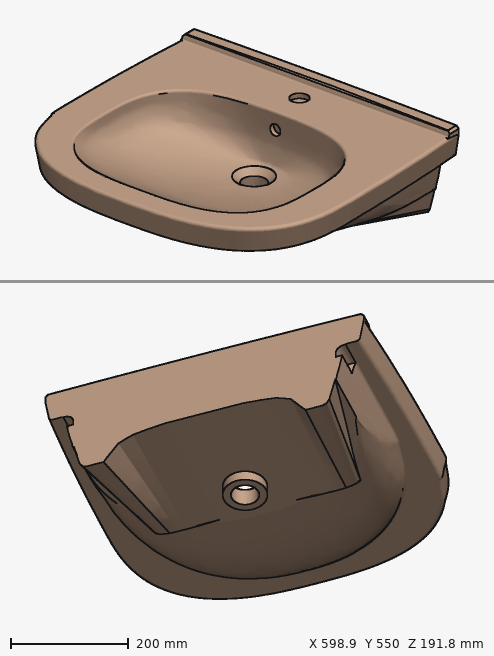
import cadquery as cq
import math


WIDTH = 598.93
DEPTH = 550.0
HEIGHT = 191.75
BACK_Y = 195.0
FRONT_Y = BACK_Y - DEPTH

RIM_THICKNESS = 50.0
RIM_BACK_HALF_WIDTH = 288.6
RIM_CURVE_START_Y = -110.0
RIM_EXPONENT = 2.7
RIM_TOP_ROUND = 6.0
RIM_SKIRT_INSET = 6.0
RIM_BOTTOM_ROUND = 8.0

FRONT_CURVE_STEPS = 16
ROUND_STEPS = 3

UPSTAND_HEIGHT = 12.75
UPSTAND_CROWN = 2.0
UPSTAND_TOP_FRONT_Y = 175.0
UPSTAND_NOSE_Y = 171.5
UPSTAND_NOSE_Z = 9.5
UPSTAND_COVE_Y = 168.5
UPSTAND_COVE_Z = 3.5
UPSTAND_FOOT_Y = 164.5
UPSTAND_ARC_SAG = 0.7
UPSTAND_END_CHAMFER = 5.0

BOWL_LEVELS = [
    (223.0, 59.5, -304.0, 4.0),
    (215.0, 58.0, -255.0, 35.0),
    (180.0, 54.0, -190.0, 65.0),
    (125.0, 48.0, -128.0, 84.0),
    (65.0, 42.0, -66.0, 96.0),
    (34.0, 34.0, -34.0, 99.0),
]
BOWL_OPENING_EXPONENT = 2.95
BOWL_FLOOR_EXPONENT = 2.0
BOWL_LIP_ROUND = 4.0
BOWL_POINTS = 32

DRAIN_SEAT_DIAMETER = 75.0
DRAIN_SEAT_TOP_Z = -99.0
DRAIN_SEAT_BOTTOM_Z = -111.0
DRAIN_SEAT_CLEARANCE = 5.0
DRAIN_HOLE_DIAMETER = 48.0
SPIGOT_DIAMETER = 76.0
SPIGOT_BOTTOM_Z = -145.5

TAP_HOLE_DIAMETER = 35.0
TAP_HOLE_Y = 124.0
TAP_HOLE_DEPTH = 10.0
OVERFLOW_DIAMETER = 22.0
OVERFLOW_Z = -34.0
OVERFLOW_BOTTOM_Y = 68.0

BODY_LEVELS = [
    (254.0, 0.0, -302.0, -55.0),
    (250.5, 15.0, -289.0, -69.0),
    (247.0, 40.0, -254.0, -89.0),
    (243.0, 75.0, -202.0, -106.0),
    (240.0, 110.0, -133.0, -119.0),
    (238.0, 140.0, -75.0, -126.0),
]
BODY_BOTTOM_Z = BODY_LEVELS[-1][3]
BODY_EXPONENT = 2.3
BODY_RIM_ROUND = 5.0

LEG_BOTTOM_Z = UPSTAND_HEIGHT - HEIGHT
LEG_TOP_Z = -112.0
LEG_WALL = [
    (70.0, LEG_TOP_Z),
    (70.0, BODY_BOTTOM_Z),
    (104.0, -129.5),
    (130.0, -133.5),
    (156.0, -144.5),
    (183.0, LEG_BOTTOM_Z),
    (214.0, LEG_BOTTOM_Z),
    (222.0, -175.5),
    (226.5, -168.0),
    (240.5, LEG_TOP_Z),
]
LEG_TIP_Y = -62.0
LEG_TIP = [
    (70.0, LEG_TOP_Z),
    (70.0, BODY_BOTTOM_Z),
    (104.0, -127.5),
    (130.0, -128.0),
    (145.0, -128.0),
    (160.0, -127.5),
    (172.0, -125.5),
    (180.0, -123.0),
    (186.0, -119.0),
    (192.0, LEG_TOP_Z),
]

RECESS_FLOOR_LENGTH = 44.0
RECESS_OUTER_LENGTH = 54.0
RECESS_TOP_Z = -51.0
RECESS_BOTTOM_Z = -74.0
RECESS_FLOOR_X = 238.0
RECESS_OUTER_X = 269.0
RECESS_FILLET = 15.0


def superellipse_point(half_width, half_depth, exponent, angle):
    """Point of a superellipse centred on the origin, at the given parameter angle."""
    c = math.cos(angle)
    s = math.sin(angle)
    x = half_width * math.copysign(abs(c) ** (2 / exponent), c)
    y = half_depth * math.copysign(abs(s) ** (2 / exponent), s)
    return x, y


def front_curve_points(half_width, start_y, front_y, exponent):
    """Half superellipse from the right side, round the front, to the left side."""
    points = []
    for i in range(FRONT_CURVE_STEPS + 1):
        angle = -math.pi * i / FRONT_CURVE_STEPS
        x, y = superellipse_point(half_width, start_y - front_y, exponent, angle)
        points.append((x, start_y + y))
    return points


def apron_wire(half_width, back_half_width, start_y, front_y, exponent, z):
    """Flat back, straight or bowed sides and superelliptic front, as a closed wire at height z."""
    front = [cq.Vector(x, y, z) for x, y in front_curve_points(half_width, start_y, front_y, exponent)]
    back_left = cq.Vector(-back_half_width, BACK_Y, z)
    back_right = cq.Vector(back_half_width, BACK_Y, z)
    if half_width > back_half_width:
        right = cq.Edge.makeTangentArc(front[0], cq.Vector(0, 1, 0), back_right)
        left = cq.Edge.makeTangentArc(front[-1], cq.Vector(0, 1, 0), back_left)
    else:
        right = cq.Edge.makeLine(front[0], back_right)
        left = cq.Edge.makeLine(front[-1], back_left)
    curve = cq.Edge.makeSpline(front, tangents=[cq.Vector(0, -1, 0), cq.Vector(0, 1, 0)])
    return cq.Wire.assembleEdges([cq.Edge.makeLine(back_left, back_right), right, curve, left])


def rim_wire(inset, z):
    return apron_wire(
        WIDTH / 2 - inset,
        RIM_BACK_HALF_WIDTH - inset,
        RIM_CURVE_START_Y,
        FRONT_Y + inset,
        RIM_EXPONENT,
        z,
    )


def make_rim():
    """Slab leaning inwards towards its underside, with rounded edges; the wall face stays flat."""
    top_round = []
    bottom_round = []
    for i in range(ROUND_STEPS + 1):
        angle = math.pi / 2 * i / ROUND_STEPS
        out = 1 - math.cos(angle)
        along = 1 - math.sin(angle)
        top_round.append(rim_wire(RIM_TOP_ROUND * out, -RIM_TOP_ROUND * along))
        bottom_inset = RIM_SKIRT_INSET + RIM_BOTTOM_ROUND * out
        bottom_round.append(rim_wire(bottom_inset, -RIM_THICKNESS + RIM_BOTTOM_ROUND * along))
    rim = cq.Workplane(cq.Solid.makeLoft([bottom_round[0], top_round[0]], True))
    for wires in (top_round, bottom_round):
        rim = rim.union(cq.Workplane(cq.Solid.makeLoft(wires)))
    return rim


def make_upstand():
    """Crowned strip on the back edge with a coved front."""
    nose_middle = (
        (UPSTAND_TOP_FRONT_Y + UPSTAND_NOSE_Y) / 2 - UPSTAND_ARC_SAG,
        (UPSTAND_HEIGHT + UPSTAND_NOSE_Z) / 2 + UPSTAND_ARC_SAG,
    )
    cove_middle = (
        (UPSTAND_COVE_Y + UPSTAND_FOOT_Y) / 2 + UPSTAND_ARC_SAG,
        UPSTAND_COVE_Z / 2 - UPSTAND_ARC_SAG,
    )
    strip = (
        cq.Workplane("YZ", origin=(-RIM_BACK_HALF_WIDTH, 0, 0))
        .moveTo(BACK_Y, UPSTAND_HEIGHT)
        .lineTo(UPSTAND_TOP_FRONT_Y, UPSTAND_HEIGHT)
        .threePointArc(nose_middle, (UPSTAND_NOSE_Y, UPSTAND_NOSE_Z))
        .lineTo(UPSTAND_COVE_Y, UPSTAND_COVE_Z)
        .threePointArc(cove_middle, (UPSTAND_FOOT_Y, 0))
        .lineTo(UPSTAND_FOOT_Y, -RIM_TOP_ROUND)
        .lineTo(BACK_Y, -RIM_TOP_ROUND)
        .close()
        .extrude(2 * RIM_BACK_HALF_WIDTH)
    )
    end_z = UPSTAND_HEIGHT - UPSTAND_CROWN
    chamfer_x = RIM_BACK_HALF_WIDTH - UPSTAND_END_CHAMFER
    crown = (
        cq.Workplane("XZ", origin=(0, BACK_Y, 0))
        .moveTo(-RIM_BACK_HALF_WIDTH, -RIM_TOP_ROUND)
        .lineTo(-RIM_BACK_HALF_WIDTH, end_z - UPSTAND_END_CHAMFER)
        .lineTo(-chamfer_x, end_z)
        .threePointArc((0, UPSTAND_HEIGHT), (chamfer_x, end_z))
        .lineTo(RIM_BACK_HALF_WIDTH, end_z - UPSTAND_END_CHAMFER)
        .lineTo(RIM_BACK_HALF_WIDTH, -RIM_TOP_ROUND)
        .close()
        .extrude(BACK_Y - UPSTAND_FOOT_Y)
    )
    return strip.intersect(crown)


def body_wire(half_width, start_y, front_y, z):
    return apron_wire(half_width, half_width, start_y, front_y, BODY_EXPONENT, z)


def make_body():
    """Underside of the basin, flared where it meets the rim and receding towards the wall below."""
    half_width, start_y, front_y, flare_z = BODY_LEVELS[0]
    flare = []
    for i in range(ROUND_STEPS + 1):
        angle = math.pi / 2 * i / ROUND_STEPS
        out = BODY_RIM_ROUND * (1 - math.cos(angle))
        up = BODY_RIM_ROUND * math.sin(angle)
        flare.append(body_wire(half_width + out, start_y, front_y - out, flare_z + up))
    body = cq.Workplane(cq.Solid.makeLoft([body_wire(*level) for level in BODY_LEVELS]))
    return body.union(cq.Workplane(cq.Solid.makeLoft(flare)))


def make_leg(side):
    """Wedge from the wall forward; side is +1 for +X and -1 for -X."""
    wires = []
    for y, outline in ((BACK_Y, LEG_WALL), (LEG_TIP_Y, LEG_TIP)):
        wires.append(cq.Wire.makePolygon([cq.Vector(side * x, y, z) for x, z in outline], close=True))
    return cq.Workplane(cq.Solid.makeLoft(wires, True))


def make_recess(side):
    """Slot open to the wall and outwards, with a rounded inner ceiling and a slanted front end."""
    recess = (
        cq.Workplane("XY", origin=(0, 0, RECESS_BOTTOM_Z))
        .moveTo(side * RECESS_FLOOR_X, BACK_Y)
        .lineTo(side * RECESS_FLOOR_X, BACK_Y - RECESS_FLOOR_LENGTH)
        .lineTo(side * RECESS_OUTER_X, BACK_Y - RECESS_OUTER_LENGTH)
        .lineTo(side * RECESS_OUTER_X, BACK_Y)
        .close()
        .extrude(RECESS_TOP_Z - RECESS_BOTTOM_Z)
    )
    inner_face = "<X" if side > 0 else ">X"
    return recess.faces(inner_face).edges(">Z").fillet(RECESS_FILLET)


def bowl_wire(half_width, back_y, front_y, depth):
    """Closed superelliptic level of the bowl, rounder towards the floor."""
    blend = depth / BOWL_LEVELS[-1][3]
    exponent = BOWL_OPENING_EXPONENT + (BOWL_FLOOR_EXPONENT - BOWL_OPENING_EXPONENT) * blend
    points = []
    for i in range(BOWL_POINTS):
        angle = 2 * math.pi * i / BOWL_POINTS
        x, y = superellipse_point(half_width, (back_y - front_y) / 2, exponent, angle)
        points.append(cq.Vector(x, (back_y + front_y) / 2 + y, -depth))
    return cq.Wire.assembleEdges([cq.Edge.makeSpline(points, periodic=True)])


def make_bowl():
    """Hollow from the deck opening, over a rounded lip, down to the drain seat."""
    half_width, back_y, front_y, lip_depth = BOWL_LEVELS[0]
    lip = []
    for i in range(ROUND_STEPS + 1):
        angle = math.pi / 2 * i / ROUND_STEPS
        out = BOWL_LIP_ROUND * (1 - math.cos(angle))
        depth = lip_depth * (1 - math.sin(angle))
        lip.append(bowl_wire(half_width + out, back_y + out, front_y - out, depth))
    hollow = cq.Workplane(cq.Solid.makeLoft([bowl_wire(*level) for level in BOWL_LEVELS]))
    return hollow.union(cq.Workplane(cq.Solid.makeLoft(lip)))


def vertical_cylinder(diameter, y, top_z, bottom_z):
    return cq.Workplane("XY", origin=(0, y, bottom_z)).circle(diameter / 2).extrude(top_z - bottom_z)


def make_drain():
    """Conical seat at the bottom of the bowl, leading into the drain hole."""
    clearance_z = DRAIN_SEAT_TOP_Z + DRAIN_SEAT_CLEARANCE
    seat_radius = DRAIN_SEAT_DIAMETER / 2
    hole_radius = DRAIN_HOLE_DIAMETER / 2
    return (
        cq.Workplane("XZ")
        .moveTo(0, clearance_z)
        .lineTo(seat_radius, clearance_z)
        .lineTo(seat_radius, DRAIN_SEAT_TOP_Z)
        .lineTo(hole_radius, DRAIN_SEAT_BOTTOM_Z)
        .lineTo(hole_radius, SPIGOT_BOTTOM_Z)
        .lineTo(0, SPIGOT_BOTTOM_Z)
        .close()
        .revolve(360, (0, 0, 0), (0, 1, 0))
    )


def make_overflow():
    return (
        cq.Workplane("XZ", origin=(0, OVERFLOW_BOTTOM_Y, OVERFLOW_Z))
        .circle(OVERFLOW_DIAMETER / 2)
        .extrude(OVERFLOW_BOTTOM_Y)
    )


body = make_body()
for side in (1, -1):
    body = body.cut(make_recess(side))
for side in (1, -1):
    body = body.union(make_leg(side))
basin = make_rim().union(body).union(make_upstand())
basin = basin.union(vertical_cylinder(SPIGOT_DIAMETER, 0, DRAIN_SEAT_BOTTOM_Z, SPIGOT_BOTTOM_Z))
basin = basin.cut(make_bowl())
basin = basin.cut(make_drain())
basin = basin.cut(vertical_cylinder(TAP_HOLE_DIAMETER, TAP_HOLE_Y, 0, -TAP_HOLE_DEPTH))
result = basin.cut(make_overflow())